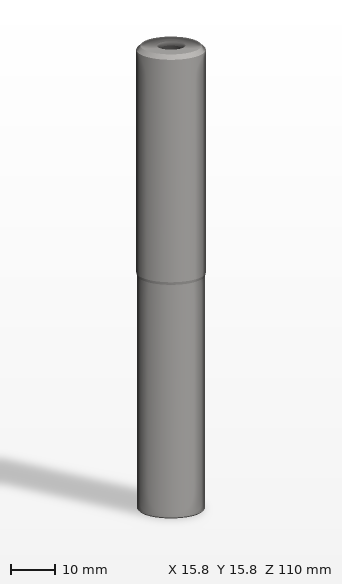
import cadquery as cq

length = 110.0
upper_diameter = 15.8
lower_diameter = 15.5
top_chamfer = 1.0
bottom_chamfer = 0.3

step_top = 56.2
step_height = 0.7

hole_diameter = 5.0
countersink_diameter = 6.5

upper_radius = upper_diameter / 2
lower_radius = lower_diameter / 2
hole_radius = hole_diameter / 2
countersink_radius = countersink_diameter / 2
countersink_depth = countersink_radius - hole_radius

half_section = (
    cq.Workplane("XZ")
    .moveTo(hole_radius, 0)
    .lineTo(lower_radius - bottom_chamfer, 0)
    .lineTo(lower_radius, bottom_chamfer)
    .lineTo(lower_radius, step_top - step_height)
    .lineTo(upper_radius, step_top)
    .lineTo(upper_radius, length - top_chamfer)
    .lineTo(upper_radius - top_chamfer, length)
    .lineTo(countersink_radius, length)
    .lineTo(hole_radius, length - countersink_depth)
    .close()
)

result = half_section.revolve(360, (0, 0, 0), (0, 1, 0))